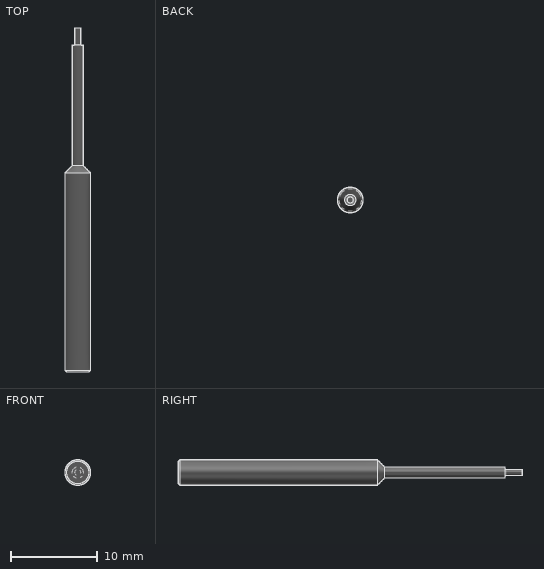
import cadquery as cq

total_length = 40.0
handle_diameter = 3.0
shank_diameter = 1.3
tip_diameter = 0.7
shank_length = 14.0
tip_length = 2.0
end_chamfer = 0.2
tip_root_fillet = 0.1

handle_radius = handle_diameter / 2
shank_radius = shank_diameter / 2
tip_radius = tip_diameter / 2

taper_length = handle_radius - shank_radius
shoulder_y = total_length - tip_length
taper_end_y = shoulder_y - shank_length
taper_start_y = taper_end_y - taper_length


def turned_body():
    """Half profile in the YZ plane, revolved about the Y axis."""
    profile = (
        cq.Workplane("YZ")
        .lineTo(0, handle_radius)
        .lineTo(taper_start_y, handle_radius)
        .lineTo(taper_end_y, shank_radius)
        .lineTo(shoulder_y, shank_radius)
        .lineTo(shoulder_y, tip_radius)
        .lineTo(total_length, tip_radius)
        .lineTo(total_length, 0)
        .close()
    )
    return profile.revolve(360, (0, 0, 0), (1, 0, 0))


def tip_root_edge(body):
    """Circle where the tip meets the shank shoulder."""
    shoulder = cq.selectors.BoxSelector(
        (-tip_diameter, shoulder_y - tip_root_fillet, -tip_diameter),
        (tip_diameter, shoulder_y + tip_root_fillet, tip_diameter),
    )
    return body.edges(shoulder).edges(cq.selectors.RadiusNthSelector(0))


body = turned_body()
body = body.faces("<Y").edges().chamfer(end_chamfer)
result = tip_root_edge(body).fillet(tip_root_fillet)